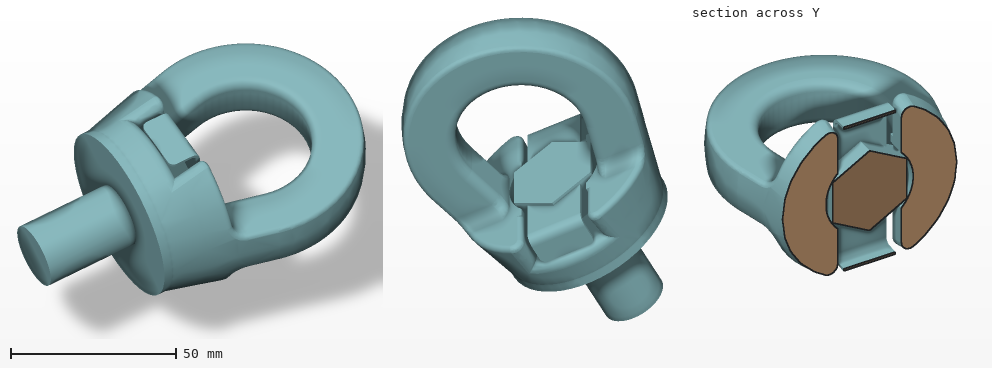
import cadquery as cq
import math


SEAT_RADIUS = 27.0
RIM_HEIGHT = 3.0
TOTAL_LENGTH = 111.0
SHANK_LENGTH = 30.0
BOW_WIDTH = 72.7
SPHERE_RADIUS = BOW_WIDTH / 2
EYE_RADIUS = 20.0
BOW_THICKNESS = 16.0
SHOULDER_HEIGHT = 23.1
BLEND_RADIUS = 4.0
BOW_SLICE = 31.1
OUTER_ROUND = 1.5
EYE_ROUND = 3.0

FLOOR_HEIGHT = 13.0
CAVITY_RADIUS = 15.1
WINDOW_WIDTH = 22.0
WINDOW_ROUND = 3.0
WINDOW_CORE = 26.6

SHANK_DIAMETER = 20.0
HEX_FLATS = 26.0
HEAD_TOP = 24.2

CLIP_WIDTH = 18.0
CLIP_THICKNESS = 1.0
CLIP_SPAN = 2 * SEAT_RADIUS
CLIP_BEND_RADIUS = 3.0
TAB_CORNER_RADIUS = 2.0

bow_top = TOTAL_LENGTH - SHANK_LENGTH
eye_center = bow_top - SPHERE_RADIUS
half_bow = BOW_THICKNESS / 2
THROUGH = 4 * SPHERE_RADIUS
TOLERANCE = 0.1

center_rise = eye_center - RIM_HEIGHT
center_distance = math.hypot(SEAT_RADIUS, center_rise)
flare = math.pi / 2 - math.acos(SPHERE_RADIUS / center_distance) - math.atan2(SEAT_RADIUS, center_rise)


def point_on_circle(radius, angle):
    """Point in the XY plane on a circle about the eye center; the angle is measured from +X."""
    return (radius * math.cos(angle), eye_center + radius * math.sin(angle))


def revolved_blank():
    """Rim, tangent cone and sphere as one solid of revolution about Y."""
    return (
        cq.Workplane("XY")
        .moveTo(0, 0)
        .lineTo(SEAT_RADIUS, 0)
        .lineTo(SEAT_RADIUS, RIM_HEIGHT)
        .lineTo(*point_on_circle(SPHERE_RADIUS, -flare))
        .threePointArc(point_on_circle(SPHERE_RADIUS, math.pi / 4), (0, bow_top))
        .close()
        .revolve(360, (0, 0, 0), (0, 1, 0))
    )


def bow_side_cutter(side):
    """Removes everything beside the bow and above the shoulder on one Z side."""
    blend_start = half_bow + BLEND_RADIUS
    blend_top = SHOULDER_HEIGHT + BLEND_RADIUS
    blend_inset = BLEND_RADIUS * (1 - math.sqrt(0.5))
    far_z = 2 * SPHERE_RADIUS
    far_y = 2 * bow_top
    return (
        cq.Workplane("YZ")
        .moveTo(far_y, side * half_bow)
        .lineTo(blend_top, side * half_bow)
        .threePointArc(
            (SHOULDER_HEIGHT + blend_inset, side * (half_bow + blend_inset)),
            (SHOULDER_HEIGHT, side * blend_start),
        )
        .lineTo(SHOULDER_HEIGHT, side * far_z)
        .lineTo(far_y, side * far_z)
        .close()
        .extrude(THROUGH / 2, both=True)
    )


def block(width, bottom, top, depth):
    """Block centered on the bolt axis: width along X, depth along Z, between two heights."""
    center = (0, (bottom + top) / 2, 0)
    return cq.Workplane("XY").box(width, top - bottom, depth).translate(center)


def disc(radius, bottom, top):
    """Cylinder on the bolt axis, from one height to another."""
    return cq.Workplane("XZ", origin=(0, bottom, 0)).circle(radius).extrude(bottom - top)


def eye_cutter():
    """Round eye with straight legs parallel to the cone, carried on down into the base."""
    leg_x, leg_y = point_on_circle(EYE_RADIUS, -flare)
    foot_x = leg_x - (leg_y - FLOOR_HEIGHT) * math.tan(flare)
    return (
        cq.Workplane("XY")
        .moveTo(-foot_x, FLOOR_HEIGHT)
        .lineTo(foot_x, FLOOR_HEIGHT)
        .lineTo(leg_x, leg_y)
        .threePointArc((0, eye_center + EYE_RADIUS), (-leg_x, leg_y))
        .close()
        .extrude(THROUGH / 2, both=True)
    )


def window_passage(depth):
    """Passage along Z that opens the windows, from the cavity floor to the shoulder."""
    return block(WINDOW_WIDTH, FLOOR_HEIGHT, SHOULDER_HEIGHT, depth)


def is_window_mouth(edge):
    """True for the curved edges where a window breaks through the cone."""
    height = edge.Center().y
    beside_window = abs(edge.Center().x) < WINDOW_WIDTH / 2 + TOLERANCE
    below_shoulder = FLOOR_HEIGHT - TOLERANCE < height < SHOULDER_HEIGHT - TOLERANCE
    return beside_window and below_shoulder and edge.geomType() != "LINE"


def is_outer_top_edge(edge):
    """True for the curved edges around the shoulders and around both bow faces."""
    above_base = edge.Center().y > SHOULDER_HEIGHT - TOLERANCE
    beside_bow = abs(edge.Center().z) > half_bow - TOLERANCE
    return above_base and beside_bow and edge.geomType() != "LINE"


def outer_form():
    """Solid bow on its base, with the side windows and all outside roundings."""
    form = revolved_blank()
    for side in (1, -1):
        form = form.cut(bow_side_cutter(side))

    form = form.cut(window_passage(THROUGH).cut(window_passage(WINDOW_CORE)))
    form = form.edges().filter(is_window_mouth).fillet(WINDOW_ROUND)
    return form.edges().filter(is_outer_top_edge).fillet(OUTER_ROUND)


def rounded_bow(form):
    """The middle slice of the form with the eye cut through it and its edges rounded."""
    bow = form.intersect(block(THROUGH, 0, bow_top, BOW_SLICE)).cut(eye_cutter())
    edge_reach = EYE_RADIUS * math.cos(flare) - TOLERANCE
    eye_edges = cq.selectors.BoxSelector(
        (-edge_reach, SHOULDER_HEIGHT - TOLERANCE, -BOW_SLICE / 2 + TOLERANCE),
        (edge_reach, eye_center + EYE_RADIUS - TOLERANCE, BOW_SLICE / 2 - TOLERANCE),
    )
    return bow.edges(eye_edges).fillet(EYE_ROUND)


def base_below_shoulder(form):
    """Base taken from one quarter of the form and mirrored, so that all window corners match."""
    quarter_space = block(THROUGH, 0, SHOULDER_HEIGHT, THROUGH).translate((THROUGH / 2, 0, THROUGH / 2))
    quarter = form.intersect(quarter_space)
    half = quarter.union(quarter.mirror("YZ"))
    return half.union(half.mirror("XY"))


def make_eye_body():
    """Bow and base in one solid, with a cavity for the bolt head and a bore for the shank."""
    form = outer_form()
    body = base_below_shoulder(form).union(rounded_bow(form))
    body = body.cut(window_passage(WINDOW_CORE))
    body = body.cut(disc(CAVITY_RADIUS, FLOOR_HEIGHT, SHOULDER_HEIGHT))
    return body.cut(disc(SHANK_DIAMETER / 2, 0, FLOOR_HEIGHT))


def make_bolt():
    """Hexagon bolt with corners toward +Z and -Z and a slot through the head for the clip."""
    shank = disc(SHANK_DIAMETER / 2, -SHANK_LENGTH, FLOOR_HEIGHT)
    head = (
        cq.Workplane("XZ", origin=(0, FLOOR_HEIGHT, 0))
        .polygon(6, HEX_FLATS, circumscribed=True)
        .extrude(FLOOR_HEIGHT - HEAD_TOP)
    )
    slot = block(CLIP_WIDTH, SHOULDER_HEIGHT - CLIP_THICKNESS, SHOULDER_HEIGHT, THROUGH)
    return shank.union(head).cut(slot)


def make_clip():
    """Strap bent down at both ends, with a round-cornered tab standing in each window."""
    outside = block(CLIP_WIDTH, FLOOR_HEIGHT, SHOULDER_HEIGHT, CLIP_SPAN)
    outside = outside.edges("|X and >Y").fillet(CLIP_BEND_RADIUS)
    inner_span = CLIP_SPAN - 2 * CLIP_THICKNESS
    inside = block(CLIP_WIDTH, FLOOR_HEIGHT, SHOULDER_HEIGHT - CLIP_THICKNESS, inner_span)
    inside = inside.edges("|X and >Y").fillet(CLIP_BEND_RADIUS - CLIP_THICKNESS)
    return outside.cut(inside).edges("|Z and <Y").fillet(TAB_CORNER_RADIUS)


eye_body = make_eye_body()
bolt = make_bolt()
clip = make_clip()

result = cq.Compound.makeCompound([
    *eye_body.solids().vals(),
    *bolt.solids().vals(),
    *clip.solids().vals(),
])